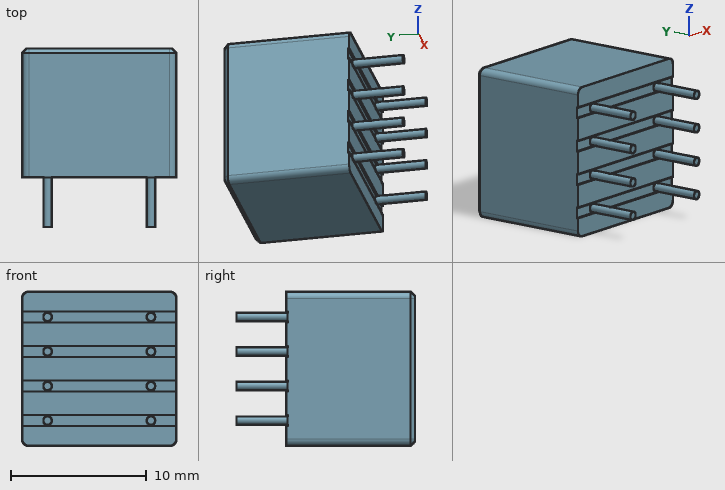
import cadquery as cq

overall_length = 13.18
housing_side = 11.37
housing_length = 9.5
corner_radius = 0.5
back_chamfer = 0.34

groove_width = 0.79
groove_depth = 0.1

pin_diameter = 0.63
column_spacing = 7.62
row_pitch = 2.55
row_count = 4

pin_tip_y = housing_length - overall_length
pin_length = groove_depth - pin_tip_y
column_positions = [-column_spacing / 2, column_spacing / 2]
row_positions = [(row - (row_count - 1) / 2) * row_pitch for row in range(row_count)]


def make_groove(z):
    """Cutter for a groove running the full width of the pin face."""
    return (
        cq.Workplane("XY")
        .box(housing_side, groove_depth, groove_width, centered=(True, False, True))
        .translate((0, 0, z))
    )


def make_housing():
    """Block with rounded long edges, a chamfered back rim and a groove for each pin row."""
    block = (
        cq.Workplane("XY")
        .box(housing_side, housing_length, housing_side, centered=(True, False, True))
        .edges("|Y")
        .fillet(corner_radius)
        .faces(">Y")
        .edges()
        .chamfer(back_chamfer)
    )
    for z in row_positions:
        block = block.cut(make_groove(z))
    return block


def make_pin(x, z):
    """Round pin standing on the groove floor and pointing toward -Y."""
    base = cq.Plane(origin=(x, groove_depth, z), xDir=(1, 0, 0), normal=(0, -1, 0))
    return cq.Workplane(base).circle(pin_diameter / 2).extrude(pin_length)


housing = make_housing()
pins = [make_pin(x, z) for x in column_positions for z in row_positions]

result = cq.Compound.makeCompound([housing.val(), *[pin.val() for pin in pins]])